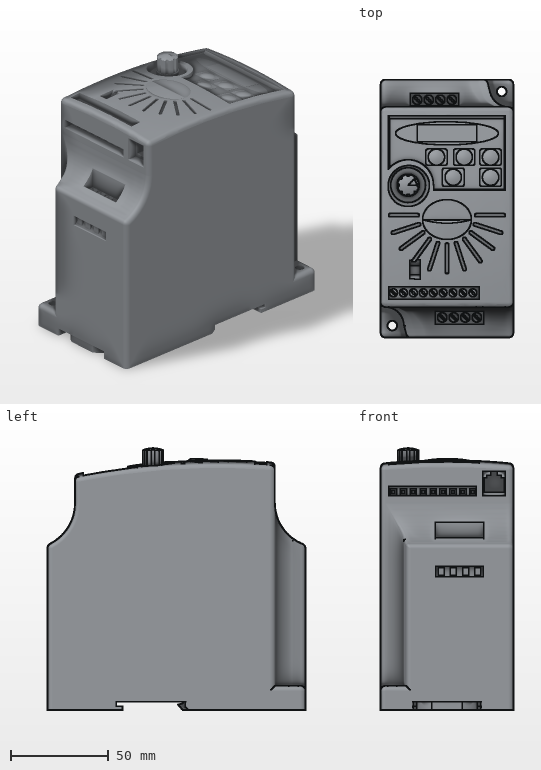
import cadquery as cq
import math

width = 68.07
length = 132.08
total_height = 134.23
half_width = width / 2
half_length = length / 2
edge_radius = 2.54
pick_margin = 0.1

shoulder_z = 84.6
cove_top_z = 105.9
rear_wall_y = 52.0
front_wall_y = -50.4

crown_apex_y = -20.6
crown_apex_z = 128.0
crown_radius_along = 365.0
crown_radius_across = 335.0

scallop_floor_z = 12.5
scallop_flat_y = -59.4
scallop_flat_x = -22.1
scallop_end_x = -21.0
scallop_rim_radius = 1.2
mount_hole_diameter = 4.8
mount_hole = (-28.0, -59.9)

well_center_x = 6.4
well_width = 24.6
well_length = 6.5
well_inner_y = -52.6
well_floor_z = 85.4
power_screw_count = 4
power_screw_pitch = 5.9
power_screw_y = -55.7
power_screw_radius = 2.4

wire_slot_width = 24.4
wire_slot_z = (68.3, 73.7)
wire_block_width = 3.1
wire_block_height = 3.9
wire_block_pitch = 6.25
wire_block_setback = 1.5

control_count = 9
control_pitch = 5.08
control_first_x = -27.4
control_front_x = (-29.8, 14.9)
control_front_z = (109.7, 114.5)
control_front_depth = 5.0
control_socket_size = 3.2
control_socket_z = 111.7
control_pin_size = 1.5
control_socket_depth = 1.5
control_top_x = (-29.8, 16.4)
control_top_y = (-46.3, -40.0)
control_top_floor_z = 122.8
control_screw_y = -43.1
control_screw_radius = 2.0

screw_head_height = 0.6
screw_slot_width = 0.9
screw_slot_angle = -45.0

jack_x = (18.3, 29.9)
jack_z = (109.7, 122.3)
jack_frame_depth = 5.5
jack_depth = 14.0
jack_steps = [(10.2, 111.5, 119.1), (7.4, 119.1, 120.2), (3.2, 120.2, 122.3)]

panel_x = (-30.0, 29.8)
panel_y = (9.4, 47.6)
panel_floor_front_z = 124.4
panel_rim = 0.6
panel_rim_rear = 1.6
panel_rim_slope = 45.0
panel_tilt = 8.9
display_center_y = 38.5
display_size = (30.4, 9.0)
display_oval = (26.3, 6.05)
display_relief = 0.2
pad_relief = 0.2
pad_corner_radius = 1.2
button_radius = 4.2
button_rise = 1.0
upper_pad_size = (10.9, 8.5)
lower_pad_size = (11.1, 9.5)
upper_buttons = [(-5.4, 26.3), (8.8, 26.3), (22.3, 26.3)]
lower_buttons = [(3.2, 16.0), (22.3, 16.0)]

knob_x = -19.9
knob_y = 12.0
knob_island_radius = 13.0
dish_rim_radius = 10.9
dish_floor_radius = 8.9
dish_floor_z = 122.8
dish_rim_z = 126.3
knob_radius = 5.4
knob_collar_radius = 5.7
knob_collar_height = 2.2
knob_dome_rise = 1.3
knob_flute_count = 8
knob_flute_radius = 0.8
pointer_depth = 0.8
pointer_angle = 45.0

badge_y = -5.6
badge_radii = (12.5, 10.2)
badge_recess = 0.3
dome_top_y = -9.0
dome_top_z = 128.8
dome_radius = 65.0
dome_step_run = 1.9
ray_center_y = -3.4
ray_inner = 14.2
ray_outer = 29.9
ray_width = 1.8
ray_depth = 1.5
ray_count = 11

switch_x = (-19.0, -13.6)
switch_y = (-36.4, -33.8, -29.2, -26.0)
switch_floor_z = 122.6

rail_rear_y = 30.8
rail_lip_y = 27.6
rail_lip_z = 2.1
rail_front_y = -4.6
rail_depth = 4.3
rail_chamfer = 1.6
notch_half_width = 17.35
latch_half_width = 15.6
latch_nose_half_width = 7.8
latch_nose_mid = (11.7, 62.8)
latch_setback = 0.4
latch_shoulder_y = -56.0
latch_tip = (-0.7, 2.9)
latch_root_y = -3.3
latch_shelf_z = 3.6


def box(x, y, z):
    """Axis-aligned block from (low, high) pairs."""
    size = (x[1] - x[0], y[1] - y[0], z[1] - z[0])
    return cq.Workplane("XY").box(*size, centered=False).translate((x[0], y[0], z[0]))


def centered_span(center, size):
    return (center - size / 2, center + size / 2)


def side_prism(sketch, x):
    """Extrude a closed YZ outline over an X range."""
    return sketch.extrude(x[1] - x[0]).translate((x[0], 0, 0))


def half_turn(shape):
    return shape.rotate((0, 0, 0), (0, 0, 1), 180)


def crown(offset=0.0):
    """Barrel of revolution about an X axis; its upper surface is the crown."""
    axis_z = crown_apex_z - crown_radius_along
    reach = crown_radius_along + offset
    edge_reach = reach - half_width**2 / (2 * crown_radius_across)
    return (
        cq.Workplane("XZ", origin=(0, crown_apex_y, axis_z))
        .moveTo(-half_width, 0)
        .lineTo(-half_width, -edge_reach)
        .threePointArc((0, -reach), (half_width, -edge_reach))
        .lineTo(half_width, 0)
        .close()
        .revolve(360, (0, 0), (1, 0))
    )


def cove_midpoint(wall_y, end_y):
    """Middle of the cove arc that leaves the wall vertically and ends at the shoulder."""
    run = end_y - wall_y
    drop = cove_top_z - shoulder_z
    radius = (run**2 + drop**2) / (2 * abs(run))
    half_sweep = math.asin(drop / radius) / 2
    side = math.copysign(1, run)
    y = wall_y + side * radius * (1 - math.cos(half_sweep))
    return (y, cove_top_z - radius * math.sin(half_sweep))


def scallop(wall_y):
    """Corner cutter for the front left corner, flared where it leaves the side and the front."""
    flare = edge_radius * (1 - math.sqrt(0.5))
    return (
        cq.Workplane("XY")
        .moveTo(-half_width, wall_y + edge_radius)
        .threePointArc(
            (-half_width + flare, wall_y + flare),
            (-half_width + edge_radius, wall_y),
        )
        .tangentArcPoint((scallop_flat_x, scallop_flat_y), relative=False)
        .lineTo(scallop_end_x, -half_length + edge_radius)
        .threePointArc(
            (scallop_end_x + flare, -half_length + flare),
            (scallop_end_x + edge_radius, -half_length),
        )
        .lineTo(-half_width, -half_length)
        .close()
        .extrude(cove_top_z)
    )


def mounting_foot(corner):
    """Floor left under a corner scallop, rounded along its outer edges and drilled."""
    slab = box(
        (-half_width, half_width),
        (-half_length, half_length),
        (0, scallop_floor_z),
    )
    slab = slab.edges("|Z").fillet(edge_radius).faces(">Z").edges().fillet(edge_radius)
    hole = cq.Workplane("XY").center(*mount_hole).circle(mount_hole_diameter / 2)
    return slab.intersect(corner).cut(hole.extrude(scallop_floor_z))


def shell_block():
    """Profile cut to the crown, rounded along every edge above the base."""
    outline = (
        cq.Workplane("YZ")
        .moveTo(-half_length, 0)
        .lineTo(half_length, 0)
        .lineTo(half_length, shoulder_z)
        .threePointArc(cove_midpoint(rear_wall_y, half_length), (rear_wall_y, cove_top_z))
        .lineTo(rear_wall_y, total_height)
        .lineTo(front_wall_y, total_height)
        .lineTo(front_wall_y, cove_top_z)
        .threePointArc(cove_midpoint(front_wall_y, -half_length), (-half_length, shoulder_z))
        .close()
    )
    block = side_prism(outline, (-half_width, half_width)).intersect(crown())
    cove_seams = cq.selectors.BoxSelector(
        (-half_width + edge_radius, -half_length, cove_top_z - pick_margin),
        (half_width - edge_radius, half_length, cove_top_z + pick_margin),
    )
    base_edges = cq.selectors.StringSyntaxSelector("<Z")
    return block.edges(cq.selectors.InverseSelector(cove_seams + base_edges)).fillet(edge_radius)


def housing():
    block = shell_block()
    front_corner = scallop(front_wall_y)
    rear_corner = half_turn(scallop(-rear_wall_y))
    foot = mounting_foot(front_corner)
    rear_foot = half_turn(mounting_foot(half_turn(rear_corner)))
    block = round_scallop_rim(block.cut(front_corner))
    block = half_turn(round_scallop_rim(half_turn(block.cut(rear_corner))))
    return block.union(foot).union(rear_foot)


def round_scallop_rim(block):
    """Round the edge where the front left scallop meets the cove."""
    rim = cq.selectors.BoxSelector(
        (-half_width + edge_radius + pick_margin, -half_length + edge_radius / 2, shoulder_z),
        (scallop_end_x + pick_margin, front_wall_y - pick_margin, cove_top_z),
    )
    return block.edges(rim).fillet(scallop_rim_radius)


def base_latch():
    """Rail latch: a hooked profile whose front end narrows to a rounded nose."""
    nose_y = -half_length + latch_setback
    tip_y, tip_z = latch_tip
    hook = side_prism(
        cq.Workplane("YZ").polyline(
            [
                (nose_y, 0),
                (latch_root_y, 0),
                (tip_y, tip_z),
                (latch_root_y, latch_shelf_z),
                (latch_root_y, rail_depth),
                (nose_y, rail_depth),
            ]
        ).close(),
        (-latch_half_width, latch_half_width),
    )
    mid_x, mid_y = latch_nose_mid
    plan = (
        cq.Workplane("XY")
        .moveTo(-latch_nose_half_width, nose_y)
        .lineTo(latch_nose_half_width, nose_y)
        .threePointArc((mid_x, -mid_y), (latch_half_width, latch_shoulder_y))
        .lineTo(latch_half_width, 0)
        .lineTo(-latch_half_width, 0)
        .lineTo(-latch_half_width, latch_shoulder_y)
        .threePointArc((-mid_x, -mid_y), (-latch_nose_half_width, nose_y))
        .close()
        .extrude(rail_depth)
    )
    return hook.intersect(plan)


def cut_base(body):
    """Rail slot across the base, with the latch channel running out to the front."""
    slot = side_prism(
        cq.Workplane("YZ").polyline(
            [
                (rail_front_y - rail_chamfer, 0),
                (rail_front_y, rail_chamfer),
                (rail_front_y, rail_depth),
                (rail_rear_y, rail_depth),
                (rail_rear_y, rail_lip_z),
                (rail_lip_y, rail_lip_z),
                (rail_lip_y, 0),
            ]
        ).close(),
        (-half_width, half_width),
    )
    channel = box(
        (-notch_half_width, notch_half_width),
        (-half_length, rail_front_y),
        (0, rail_depth),
    )
    return body.cut(slot).cut(channel).union(base_latch())


def screw_head(radius):
    """Slotted screw head standing on the XY plane."""
    groove = (
        cq.Workplane("XY", origin=(0, 0, screw_head_height / 2))
        .transformed(rotate=(0, 0, screw_slot_angle))
        .rect(3 * radius, screw_slot_width)
        .extrude(screw_head_height)
    )
    return cq.Workplane("XY").circle(radius).extrude(screw_head_height).cut(groove)


def row(shape, count, pitch, first_x, y, z):
    """Copies of a shape spaced along X."""
    copies = cq.Workplane("XY")
    for index in range(count):
        copies = copies.add(shape.translate((first_x + index * pitch, y, z)))
    return copies.combine()


def power_well():
    well = box(
        centered_span(well_center_x, well_width),
        (well_inner_y - well_length, well_inner_y),
        (well_floor_z, cove_top_z),
    )
    first_x = well_center_x - power_screw_pitch * (power_screw_count - 1) / 2
    heads = row(
        screw_head(power_screw_radius),
        power_screw_count,
        power_screw_pitch,
        first_x,
        power_screw_y,
        well_floor_z,
    )
    return well.cut(heads)


def wire_opening():
    """Opening with a sloping back from which the wire clamps stand out."""
    low, high = wire_slot_z
    face = -half_length
    slot = side_prism(
        cq.Workplane("YZ").polyline(
            [(face, low), (face + wire_block_setback, low), (face + high - low, high), (face, high)]
        ).close(),
        centered_span(well_center_x, wire_slot_width),
    )
    clamp = box(
        centered_span(0, wire_block_width),
        (face + wire_block_setback, face + high - low),
        centered_span((low + high) / 2, wire_block_height),
    )
    first_x = well_center_x - wire_block_pitch * (power_screw_count - 1) / 2
    return slot.cut(row(clamp, power_screw_count, wire_block_pitch, first_x, 0, 0))


def control_strip():
    """Front wire slot with nine sockets, and the matching screw row in the crown."""
    back_y = front_wall_y + control_front_depth
    slot = box(control_front_x, (front_wall_y, back_y), control_front_z)
    socket = box(
        centered_span(0, control_socket_size),
        (back_y, back_y + control_socket_depth),
        centered_span(control_socket_z, control_socket_size),
    ).cut(
        box(
            centered_span(0, control_pin_size),
            (back_y, back_y + control_socket_depth),
            centered_span(control_socket_z, control_pin_size),
        )
    )
    sockets = row(socket, control_count, control_pitch, control_first_x, 0, 0)
    trough = box(control_top_x, control_top_y, (control_top_floor_z, total_height))
    heads = row(
        screw_head(control_screw_radius),
        control_count,
        control_pitch,
        control_first_x,
        control_screw_y,
        control_top_floor_z,
    )
    return slot.union(sockets).union(trough.cut(heads))


def modular_jack():
    frame_back = front_wall_y + jack_frame_depth
    opening = box(jack_x, (front_wall_y, frame_back), jack_z)
    for step_width, low, high in jack_steps:
        span = centered_span(sum(jack_x) / 2, step_width)
        opening = opening.union(box(span, (front_wall_y, front_wall_y + jack_depth), (low, high)))
    return opening


def panel_plane_z(y):
    return panel_floor_front_z - (y - panel_y[0]) * math.tan(math.radians(panel_tilt))


def on_panel(x, y):
    """Workplane lying on the tilted panel floor at a given plan position."""
    return cq.Workplane("XY", origin=(x, y, panel_plane_z(y))).transformed(rotate=(-panel_tilt, 0, 0))


def knob_cylinder(radius):
    return cq.Workplane("XY").center(knob_x, knob_y).circle(radius).extrude(2 * total_height)


def panel_recess():
    """Recess with a sloping rim, leaving the island around the knob."""
    floor_x = [panel_x[0] + panel_rim, panel_x[1] - panel_rim]
    floor_y = [panel_y[0] + panel_rim, panel_y[1] - panel_rim_rear]
    center_y = sum(floor_y) / 2
    floor_length = (floor_y[1] - floor_y[0]) / math.cos(math.radians(panel_tilt))
    recess = (
        on_panel(sum(floor_x) / 2, center_y)
        .rect(floor_x[1] - floor_x[0], floor_length)
        .extrude(total_height - panel_floor_front_z, taper=-panel_rim_slope)
    )
    outline = box(panel_x, panel_y, (cove_top_z, total_height))
    return recess.intersect(outline).cut(knob_cylinder(knob_island_radius)).cut(knob_corner())


def knob_corner():
    """Part of the panel rectangle cut off below and left of the knob island."""
    return box(
        (panel_x[0], knob_x + knob_island_radius),
        (panel_y[0], knob_y),
        (0, total_height),
    )


def button(x, y, pad_size):
    """Rounded pad carrying a domed round key."""
    pad = on_panel(x, y).sketch().rect(*pad_size).vertices().fillet(pad_corner_radius).finalize()
    pad = pad.extrude(pad_relief)
    ball_radius = (button_radius**2 + button_rise**2) / (2 * button_rise)
    ball_depth = pad_relief + button_rise - ball_radius
    ball = on_panel(x, y).workplane(offset=ball_depth).sphere(ball_radius)
    key = on_panel(x, y).circle(button_radius).extrude(2 * (pad_relief + button_rise))
    return pad.union(key.intersect(ball))


def keypad():
    """Display label and the buttons, standing on the panel floor."""
    label = on_panel(0, display_center_y).ellipse(*display_oval).extrude(display_relief)
    display = on_panel(0, display_center_y).rect(*display_size).extrude(2 * display_relief)
    parts = label.union(display)
    for buttons, size in ((upper_buttons, upper_pad_size), (lower_buttons, lower_pad_size)):
        for x, y in buttons:
            parts = parts.union(button(x, y, size))
    return parts


def dish():
    return cq.Workplane("XZ", origin=(knob_x, knob_y, 0)).polyline(
        [
            (0, dish_floor_z),
            (dish_floor_radius, dish_floor_z),
            (dish_rim_radius, dish_rim_z),
            (dish_rim_radius, total_height),
            (0, total_height),
        ]
    ).close().revolve(360, (0, 0), (0, 1))


def knob():
    """Fluted knob on a plain collar, with a pointer wedge cut into its domed top."""
    height = total_height - dish_floor_z
    dome_sphere = (knob_radius**2 + knob_dome_rise**2) / (2 * knob_dome_rise)
    grip = cq.Workplane("XY").circle(knob_radius).extrude(height)
    dome = cq.Workplane("XY").sphere(dome_sphere).translate((0, 0, height - dome_sphere))
    shaft = cq.Workplane("XY").circle(knob_radius).extrude(height - knob_dome_rise)
    grip = grip.intersect(dome.union(shaft))
    flutes = (
        cq.Workplane("XY", origin=(0, 0, knob_collar_height))
        .polarArray(knob_radius, 0, 360, knob_flute_count)
        .circle(knob_flute_radius)
        .extrude(height)
    )
    reach = 2 * knob_radius
    tip = math.radians(pointer_angle)
    pointer = (
        cq.Workplane("XY", origin=(0, 0, height - pointer_depth))
        .polyline([(0, 0), (reach, 0), (reach * math.cos(tip), reach * math.sin(tip))])
        .close()
        .extrude(pointer_depth)
    )
    collar = cq.Workplane("XY").circle(knob_collar_radius).extrude(knob_collar_height)
    return grip.cut(flutes).cut(pointer).union(collar).translate((knob_x, knob_y, dish_floor_z))


def badge_prism():
    return cq.Workplane("XY").center(0, badge_y).ellipse(*badge_radii).extrude(total_height)


def badge_recess_cut():
    """Upper half of the badge, sunk a little below the crown."""
    upper = box((-half_width, half_width), (badge_y, half_length), (shoulder_z, total_height))
    return badge_prism().intersect(upper).cut(crown(-badge_recess))


def badge_dome():
    """Lower half of the badge, a spherical swell with a sloping step toward the recess."""
    ball = cq.Workplane("XY").sphere(dome_radius)
    ball = ball.translate((0, dome_top_y, dome_top_z - dome_radius))
    lower = side_prism(
        cq.Workplane("YZ").polyline(
            [
                (badge_y, cove_top_z),
                (badge_y, crown_apex_z - 2 * badge_recess),
                (badge_y - dome_step_run, dome_top_z),
                (-half_length, dome_top_z),
                (-half_length, cove_top_z),
            ]
        ).close(),
        (-half_width, half_width),
    )
    return ball.intersect(badge_prism()).intersect(lower)


def sunburst():
    """Round-ended vents fanned below the badge, following the crown."""
    vents = cq.Workplane("XY")
    step = 180 / (ray_count - 1)
    for index in range(ray_count):
        vent = (
            cq.Workplane("XY", origin=(0, ray_center_y, cove_top_z))
            .transformed(rotate=(0, 0, 180 + index * step))
            .center((ray_inner + ray_outer) / 2, 0)
            .slot2D(ray_outer - ray_inner, ray_width)
            .extrude(total_height - cove_top_z)
        )
        vents = vents.add(vent)
    return vents.combine().cut(crown(-ray_depth))


def switch_window():
    front, floor_front, floor_rear, rear = switch_y
    return side_prism(
        cq.Workplane("YZ").polyline(
            [
                (floor_front, switch_floor_z),
                (floor_rear, switch_floor_z),
                (rear, crown_apex_z),
                (front, crown_apex_z),
            ]
        ).close(),
        switch_x,
    )


body = cut_base(housing())
body = body.union(badge_dome()).cut(sunburst()).cut(badge_recess_cut())
body = body.cut(panel_recess()).union(keypad())
body = body.cut(dish()).union(knob())
body = body.cut(power_well()).cut(half_turn(power_well())).cut(wire_opening())
result = body.cut(control_strip()).cut(modular_jack()).cut(switch_window())